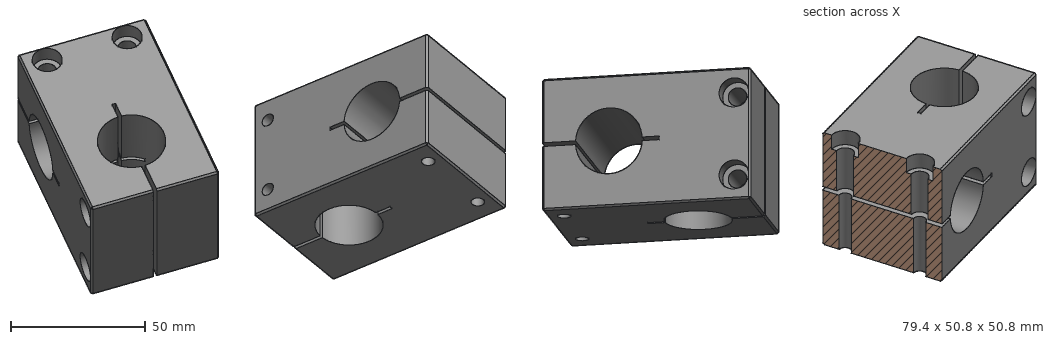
import cadquery as cq

length = 79.4
side = 50.8
edge_chamfer = 0.7

bore_diameter = 25.4
bore_offset = 14.3
slit_width = 1.4
slit_inner_end = 4.9

screw_offset = 33.3
screw_spacing = 31.75
head_diameter = 11.2
head_depth = 6.35
clearance_diameter = 7.0
core_diameter = 5.1

half_side = side / 2


def make_block():
    block = cq.Workplane("XY").box(length, side, side)
    return block.edges().chamfer(edge_chamfer)


def cylinder(diameter, bottom, top, x, y):
    return cq.Workplane("XY", origin=(x, y, bottom)).circle(diameter / 2).extrude(top - bottom)


def clamp_cutter():
    """Bore along Z with its slit open at +X, and stepped screw holes entered from +Z."""
    cutter = cylinder(bore_diameter, -half_side, half_side, bore_offset, 0)
    slit_length = length / 2 + slit_inner_end
    slit_centre = (length / 2 - slit_inner_end) / 2
    slit = cq.Workplane("XY").box(slit_length, slit_width, side).translate((slit_centre, 0, 0))
    cutter = cutter.union(slit)
    for y in (-screw_spacing / 2, screw_spacing / 2):
        x = -screw_offset
        cutter = cutter.union(cylinder(core_diameter, -half_side, half_side, x, y))
        cutter = cutter.union(cylinder(clearance_diameter, 0, half_side, x, y))
        cutter = cutter.union(cylinder(head_diameter, half_side - head_depth, half_side, x, y))
    return cutter


vertical_clamp = clamp_cutter()
horizontal_clamp = vertical_clamp.rotate((0, 0, 0), (0, 0, 1), 180).rotate((0, 0, 0), (1, 0, 0), 90)

result = make_block().cut(vertical_clamp).cut(horizontal_clamp)